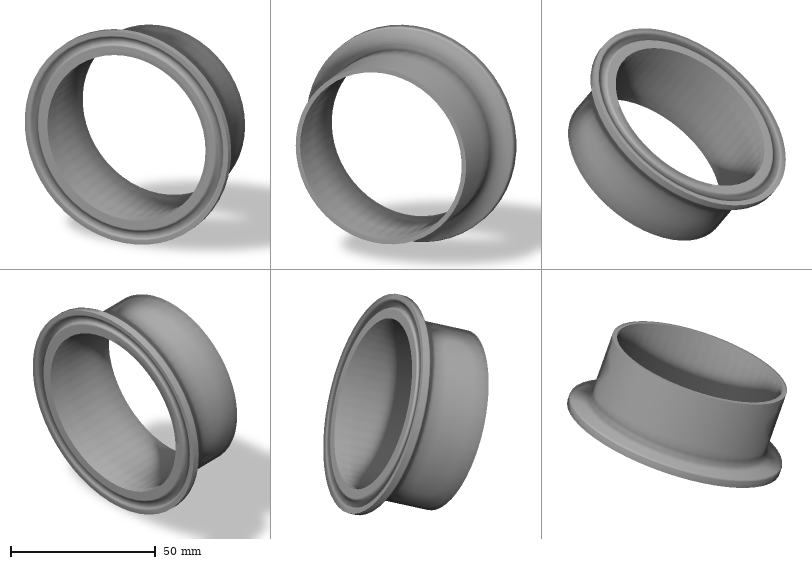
import cadquery as cq
import math

bore_diameter = 60.2
tube_diameter = 63.5
flange_diameter = 77.5
length = 28.7

back_angle = math.radians(20)
rim_thickness = 2.85
rim_round = 0.8
neck_round = 2.0

groove_diameter = 70.5
groove_wall_angle = math.radians(67)
groove_depth = 1.6
groove_floor_radius = 1.2
groove_lip_radius = 0.8


def ferrule_body():
    """Revolved tube and flange, with the bore right through."""
    bore_r = bore_diameter / 2
    tube_r = tube_diameter / 2
    flange_r = flange_diameter / 2
    sine = math.sin(back_angle)
    cosine = math.cos(back_angle)

    def cone_height(radius):
        return rim_thickness + (flange_r - radius) * math.tan(back_angle)

    def arc_middle(center_x, center_y, radius, angle):
        return (center_x + radius * math.cos(angle), center_y + radius * math.sin(angle))

    rim_x = flange_r - rim_round
    rim_end_x = rim_x + rim_round * sine
    rim_end_y = cone_height(rim_end_x)
    rim_y = rim_end_y - rim_round * cosine
    half_turn = (math.pi / 2 - back_angle) / 2
    rim_middle = arc_middle(rim_x, rim_y, rim_round, half_turn)

    neck_x = tube_r + neck_round
    neck_start_x = neck_x - neck_round * sine
    neck_start_y = cone_height(neck_start_x)
    neck_y = neck_start_y + neck_round * cosine
    neck_middle = arc_middle(neck_x, neck_y, neck_round, math.pi + half_turn)

    profile = (
        cq.Workplane("XY")
        .moveTo(bore_r, 0)
        .lineTo(flange_r, 0)
        .lineTo(flange_r, rim_y)
        .threePointArc(rim_middle, (rim_end_x, rim_end_y))
        .lineTo(neck_start_x, neck_start_y)
        .threePointArc(neck_middle, (tube_r, neck_y))
        .lineTo(tube_r, length)
        .lineTo(bore_r, length)
        .close()
    )
    return profile.revolve(360, (0, 0, 0), (0, 1, 0))


def gasket_groove():
    """Ring of material to cut: a round floor, straight sloping walls and rounded lips."""
    center = groove_diameter / 2
    sine = math.sin(groove_wall_angle)
    half_sine = math.sin(groove_wall_angle / 2)
    half_cosine = math.cos(groove_wall_angle / 2)

    lip_depth = groove_lip_radius * (1 - math.cos(groove_wall_angle))
    floor_start_depth = groove_depth - groove_floor_radius * (1 - math.cos(groove_wall_angle))
    floor_half_width = groove_floor_radius * sine
    wall_width = (floor_start_depth - lip_depth) / math.tan(groove_wall_angle)
    lip_half_width = floor_half_width + wall_width
    half_width = lip_half_width + groove_lip_radius * sine

    lip_middle = half_width - groove_lip_radius * half_sine
    lip_middle_depth = groove_lip_radius * (1 - half_cosine)

    profile = (
        cq.Workplane("XY")
        .moveTo(center - half_width, 0)
        .threePointArc((center - lip_middle, lip_middle_depth), (center - lip_half_width, lip_depth))
        .lineTo(center - floor_half_width, floor_start_depth)
        .threePointArc((center, groove_depth), (center + floor_half_width, floor_start_depth))
        .lineTo(center + lip_half_width, lip_depth)
        .threePointArc((center + lip_middle, lip_middle_depth), (center + half_width, 0))
        .close()
    )
    return profile.revolve(360, (0, 0, 0), (0, 1, 0))


result = ferrule_body().cut(gasket_groove())